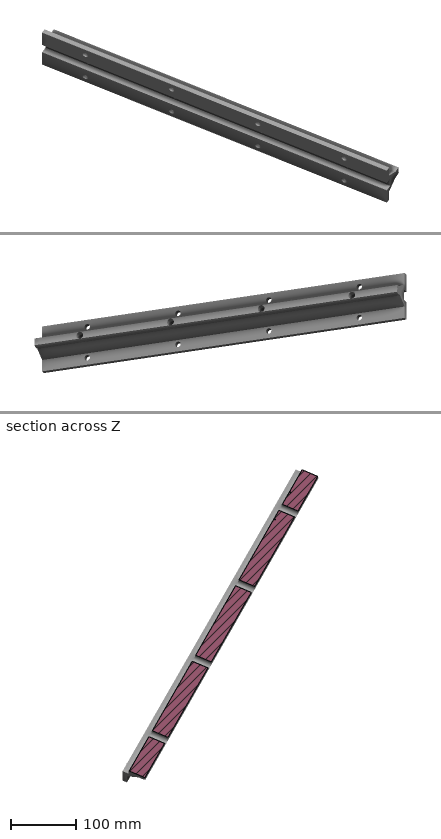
import cadquery as cq
import math

length = 599.5
height = 39.01
base_width = 74.0
flange_thickness = 7.6

web_root_width = 36.5
neck_start = 27.3
neck_width = 14.0

shaft_radius = 15.0
bevel_depth = 3.0
bevel_width = 1.5

channel_width = 17.0
channel_depth = 10.5

first_hole_offset = 75.0
hole_count = 4
hole_pitch = 150.0
flange_hole_diameter = 9.0
flange_hole_spacing = 51.0
shaft_hole_diameter = 11.0

lip_z = neck_width / 2 - bevel_width
seat_bottom_y = height + math.sqrt(shaft_radius**2 - lip_z**2) - shaft_radius
bevel_start_y = height - bevel_depth


def make_rail():
    """Extrude the cross-section along the full length."""
    return (
        cq.Workplane("YZ")
        .moveTo(0, channel_width / 2)
        .lineTo(0, base_width / 2)
        .lineTo(flange_thickness, base_width / 2)
        .lineTo(flange_thickness, web_root_width / 2)
        .lineTo(neck_start, neck_width / 2)
        .lineTo(bevel_start_y, neck_width / 2)
        .lineTo(height, lip_z)
        .threePointArc((seat_bottom_y, 0), (height, -lip_z))
        .lineTo(bevel_start_y, -neck_width / 2)
        .lineTo(neck_start, -neck_width / 2)
        .lineTo(flange_thickness, -web_root_width / 2)
        .lineTo(flange_thickness, -base_width / 2)
        .lineTo(0, -base_width / 2)
        .lineTo(0, -channel_width / 2)
        .lineTo(channel_depth, -channel_width / 2)
        .lineTo(channel_depth, channel_width / 2)
        .close()
        .extrude(length / 2, both=True)
    )


def make_hole_row(diameter, z):
    """Row of evenly pitched cylinders along Y, passing through the whole section."""
    first_x = -length / 2 + first_hole_offset
    centers = [(first_x + i * hole_pitch, z) for i in range(hole_count)]
    return cq.Workplane("XZ").pushPoints(centers).circle(diameter / 2).extrude(-height)


result = make_rail()

for side in (-1, 1):
    result = result.cut(make_hole_row(flange_hole_diameter, side * flange_hole_spacing / 2))

result = result.cut(make_hole_row(shaft_hole_diameter, 0))